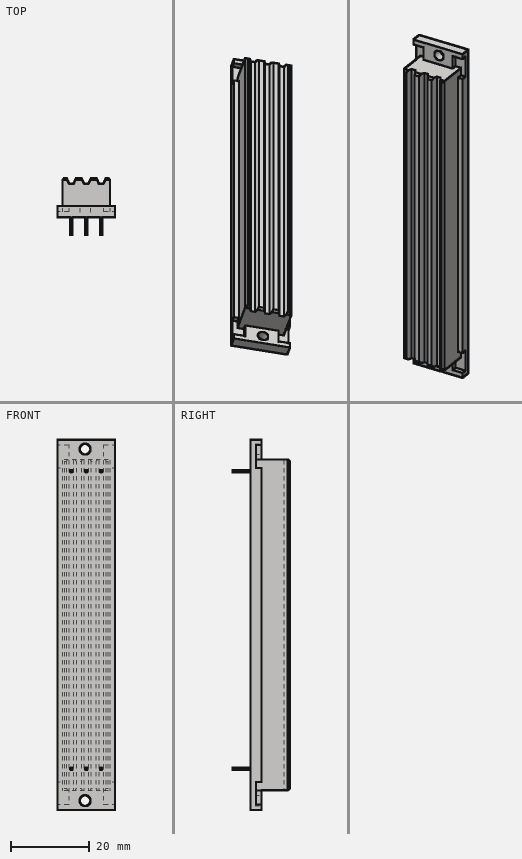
import cadquery as cq

plate_width = 14.8
plate_length = 94.9
plate_thickness = 2.9
hole_diameter = 2.7
hole_spacing = 90.0
hole_offset = -0.3

pocket_end_wall = 1.45
pocket_length = 5.8
pocket_depth = plate_thickness / 2
pocket_inset = 3.0

housing_width = 12.2
housing_length = 84.8
housing_height = 7.2
housing_chamfer = 0.55

contact_pitch = 3.81
contact_columns = 3
pin_diameter = 0.6
pin_length = 4.5
pin_row_spacing = 76.2
pin_row_offset = 1.27

groove_depth = 1.45
groove_top_width = 2.5
groove_floor_width = 1.1

housing_back = plate_thickness + housing_height
column_positions = [(i - (contact_columns - 1) / 2) * contact_pitch for i in range(contact_columns)]


def box(width, depth, length, x, y, z):
    """Box centred on x and z, growing from y towards +Y."""
    return cq.Workplane("XY").box(width, depth, length, centered=(True, False, True)).translate((x, y, z))


def make_plate():
    plate = box(plate_width, plate_thickness, plate_length, 0, 0, 0)
    pocket_z = plate_length / 2 - pocket_end_wall - pocket_length / 2
    pocket_x = (plate_width - pocket_inset) / 2
    for end in (-1, 1):
        hole = (
            cq.Workplane("XZ")
            .center(hole_offset, end * hole_spacing / 2)
            .circle(hole_diameter / 2)
            .extrude(-plate_thickness)
        )
        plate = plate.cut(hole)
        for side in (-1, 1):
            pocket = box(
                pocket_inset, pocket_depth, pocket_length,
                side * pocket_x, plate_thickness - pocket_depth, end * pocket_z,
            )
            plate = plate.cut(pocket)
    return plate


def make_groove(x):
    half_top = groove_top_width / 2
    half_floor = groove_floor_width / 2
    floor_y = housing_back - groove_depth
    return (
        cq.Workplane("XY")
        .workplane(offset=-housing_length / 2)
        .polyline([
            (x - half_top, housing_back),
            (x - half_floor, floor_y),
            (x + half_floor, floor_y),
            (x + half_top, housing_back),
        ])
        .close()
        .extrude(housing_length)
    )


def make_housing():
    housing = box(housing_width, housing_height, housing_length, 0, plate_thickness, 0)
    housing = housing.faces(">Y").edges().chamfer(housing_chamfer)
    for x in column_positions:
        housing = housing.cut(make_groove(x))
    return housing


def make_lug(end):
    """Housing lug filling the inner part of the pockets at one end."""
    lug_inner_z = plate_length / 2 - pocket_end_wall - pocket_length
    lug_length = housing_length / 2 - lug_inner_z
    lug_z = end * (lug_inner_z + lug_length / 2)
    return box(housing_width, pocket_depth, lug_length, 0, plate_thickness - pocket_depth, lug_z)


def make_pin(x, z):
    return cq.Workplane("XZ").center(x, z).circle(pin_diameter / 2).extrude(pin_length)


result = make_plate().union(make_housing())
for end in (-1, 1):
    result = result.union(make_lug(end))
    for x in column_positions:
        result = result.union(make_pin(x, pin_row_offset + end * pin_row_spacing / 2))